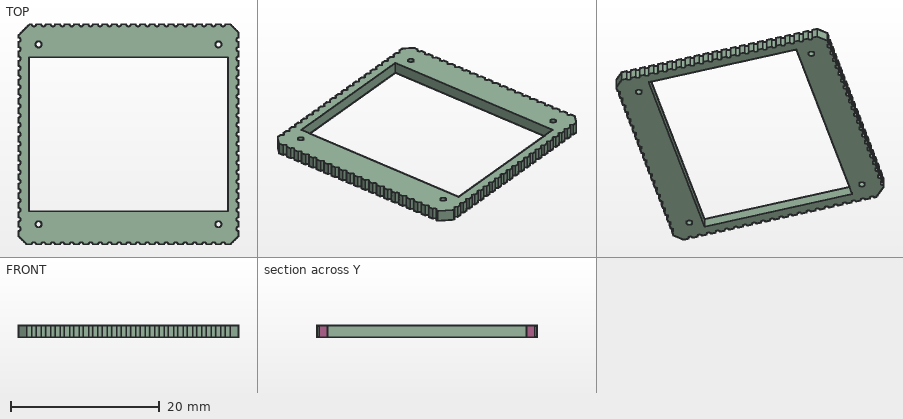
import cadquery as cq

side = 29.59
thickness = 1.6

window_length = 26.7
window_width = 20.65

corner_chamfer = 1.12
index_chamfer = 1.5

hole_diameter = 0.8
hole_offset = 12.08

groove_count = 21
groove_pitch = 1.27
groove_radius = 0.2875


def make_plate():
    """Square plate with chamfered corners, resting on Z = 0."""
    plate = cq.Workplane("XY").rect(side, side).extrude(thickness)
    plate = plate.edges("|Z").edges("<(1, -1, 0)").chamfer(index_chamfer)
    half = side / 2
    for x, y in [(-half, -half), (half, -half), (half, half)]:
        corner_edge = cq.selectors.NearestToPointSelector((x, y, thickness / 2))
        plate = plate.edges("|Z").edges(corner_edge).chamfer(corner_chamfer)
    return plate


def cut_window(body):
    """Cut the central rectangular opening."""
    window = cq.Workplane("XY").rect(window_length, window_width).extrude(thickness)
    return body.cut(window)


def cut_holes(body):
    """Drill the four corner holes through the plate."""
    spacing = 2 * hole_offset
    holes = (
        cq.Workplane("XY")
        .rarray(spacing, spacing, 2, 2)
        .circle(hole_diameter / 2)
        .extrude(thickness)
    )
    return body.cut(holes)


def cut_grooves(body):
    """Cut full-height grooves centred on all four outer faces."""
    first = -(groove_count - 1) / 2 * groove_pitch
    along = [first + i * groove_pitch for i in range(groove_count)]
    centres = []
    for edge in (-side / 2, side / 2):
        centres += [(position, edge) for position in along]
        centres += [(edge, position) for position in along]
    grooves = cq.Workplane("XY").pushPoints(centres).circle(groove_radius).extrude(thickness)
    return body.cut(grooves)


result = cut_grooves(cut_holes(cut_window(make_plate())))